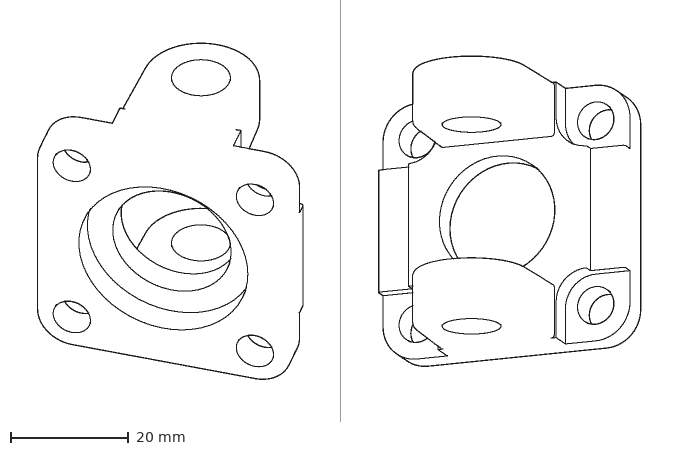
import cadquery as cq
import math

plate_size = 45.0
half_plate = plate_size / 2
corner_radius = 6.25
body_depth = 10.0
side_depth = 8.0
side_strip_width = 6.25
edge_radius = 0.6
step_edge_radius = 0.5

hole_inset = 6.25
hole_offset = half_plate - hole_inset
mount_hole_diameter = 6.6
pocket_floor = 5.6
pocket_radius = 5.5

bore_diameter = 21.0
recess_diameter = 30.0
recess_depth = 5.0

lug_thickness = 9.5
lug_end_radius = 10.0
pin_diameter = 10.0
pin_distance = 22.0
lug_draft = math.radians(2.0)


def make_bore(x, z, diameter, depth):
    """Cylinder along +Y, sunk into the mounting face."""
    return cq.Workplane("XZ").center(x, z).circle(diameter / 2).extrude(-depth)


def make_flange():
    """Rounded square plate with a raised central band running along Z."""
    band_half_width = half_plate - side_strip_width
    profile = (
        cq.Workplane("XY")
        .moveTo(-half_plate, 0)
        .lineTo(half_plate, 0)
        .lineTo(half_plate, side_depth)
        .lineTo(band_half_width, side_depth)
        .lineTo(band_half_width, body_depth)
        .lineTo(-band_half_width, body_depth)
        .lineTo(-band_half_width, side_depth)
        .lineTo(-half_plate, side_depth)
        .close()
        .extrude(half_plate, both=True)
    )
    step_corners = (
        (half_plate, side_depth),
        (band_half_width, body_depth),
        (-band_half_width, body_depth),
        (-half_plate, side_depth),
    )
    for x, y in step_corners:
        profile = profile.edges(cq.NearestToPointSelector((x, y, 0))).fillet(step_edge_radius)

    outline = (
        cq.Workplane("XZ")
        .rect(plate_size, plate_size)
        .extrude(-body_depth)
        .edges("|Y")
        .fillet(corner_radius)
        .faces("<Y")
        .edges()
        .fillet(edge_radius)
    )
    return profile.intersect(outline)


def make_corner_pocket(x_side, z_side):
    """Clearance around one mounting hole, open towards both neighbouring plate sides."""
    height = body_depth - pocket_floor
    width = hole_inset + pocket_radius
    centre = half_plate - width / 2
    return (
        cq.Workplane("XZ", origin=(0, pocket_floor, 0))
        .center(x_side * centre, z_side * centre)
        .rect(width, width)
        .extrude(-height)
        .edges("|Y")
        .edges(cq.NearestToPointSelector((0, body_depth, 0)))
        .fillet(pocket_radius)
    )


def make_lug(bottom):
    """Tapered lug with a round end, its sides tangent to the end arc."""
    tangent_x = lug_end_radius * math.cos(lug_draft)
    tangent_y = pin_distance + lug_end_radius * math.sin(lug_draft)
    root_x = tangent_x + (tangent_y - body_depth) * math.tan(lug_draft)
    lug = (
        cq.Workplane("XY", origin=(0, 0, bottom))
        .moveTo(-root_x, body_depth)
        .lineTo(root_x, body_depth)
        .lineTo(tangent_x, tangent_y)
        .threePointArc((0, pin_distance + lug_end_radius), (-tangent_x, tangent_y))
        .close()
        .extrude(lug_thickness)
    )
    return lug.faces("<Z or >Z").edges("not <Y").fillet(edge_radius)


result = make_flange()
for x_side in (-1, 1):
    for z_side in (-1, 1):
        result = result.cut(make_corner_pocket(x_side, z_side))
        mount_hole = make_bore(x_side * hole_offset, z_side * hole_offset, mount_hole_diameter, body_depth)
        result = result.cut(mount_hole)

for bottom in (-half_plate, half_plate - lug_thickness):
    result = result.union(make_lug(bottom))

result = result.cut(make_bore(0, 0, bore_diameter, body_depth))
result = result.cut(make_bore(0, 0, recess_diameter, recess_depth))

pin_hole = (
    cq.Workplane("XY").center(0, pin_distance).circle(pin_diameter / 2).extrude(half_plate, both=True)
)
result = result.cut(pin_hole)